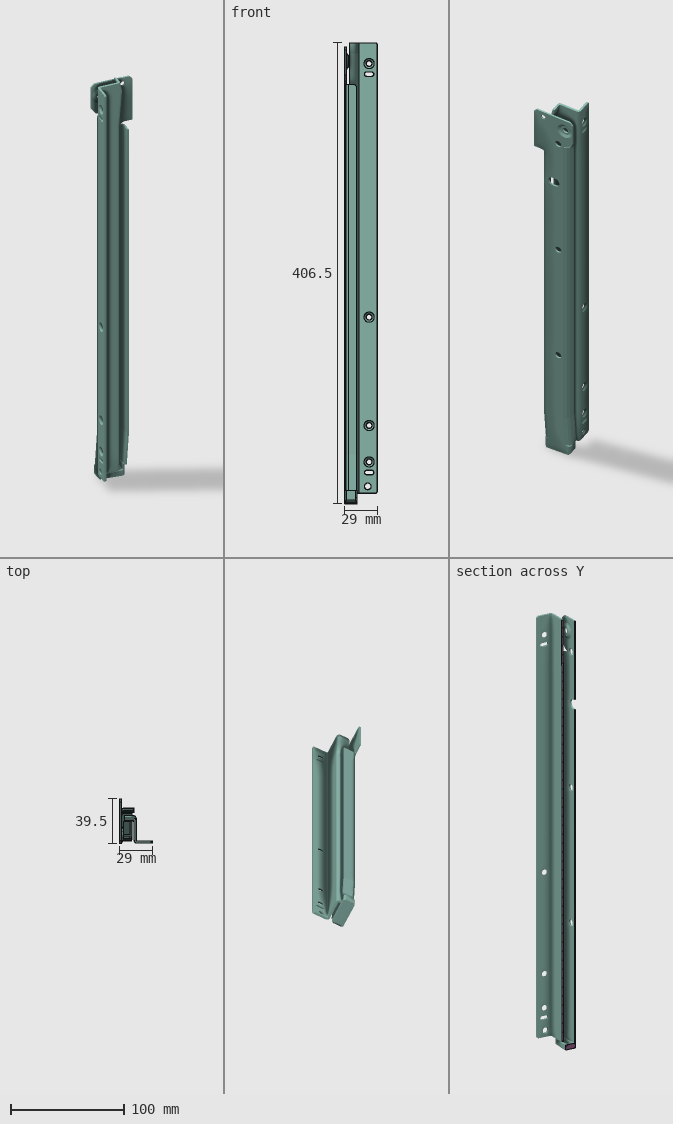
import cadquery as cq
import math


CABINET_SHEET = 2.0
CABINET_BOTTOM = 9.5
CABINET_TOP = 406.5
FLANGE_FRONT_Y = 0.5
FLANGE_END_X = 29.0
WEB_X = 12.5
RUNNER_END_X = 4.0
BEND_INNER_R = 1.0
FLANGE_CORNER = 1.2
RUNNER_Y = 20.0
RUNNER_STATIONS = [(CABINET_BOTTOM, RUNNER_Y), (362.0, RUNNER_Y), (397.0, 22.8), (CABINET_TOP, 20.7)]

SCREW_X = 21.5
SCREW_ZS = [388.5, 164.5, 69.0, 37.0]
SCREW_R = 2.5
SCREW_HEAD_R = 4.5
SLOT_ZS = [379.0, 27.5]
SLOT_LENGTH = 8.0
SLOT_HEIGHT = 3.5
FLANGE_HOLE_X = 20.5
FLANGE_HOLE_Z = 15.5
FLANGE_HOLE_R = 3.0

DRAWER_SHEET = 1.5
LOWER_FLANGE_Y = 4.5
UPPER_FLANGE_Y = 31.5
LOWER_FLANGE_X = 10.5
UPPER_FLANGE_X = 12.5
SHOULDER_X = 1.2
BEND_X = 3.3
WEB_LOW_Y = 9.8
WEB_HIGH_Y = 27.0
LOWER_SHOULDER_Y = 6.0
UPPER_SHOULDER_Y = 30.0
LOWER_FLANGE_TOP = 370.0
UPPER_FLANGE_TOP = 356.0
LOWER_FLANGE_CORNER = 2.0
DROP_TOP = 43.5
DROP_BOTTOM = 11.8
DROP = 2.0
TONGUE_BOTTOM = 3.5

PLATE_HEIGHT = 39.5
PLATE_TOP = 403.0
PLATE_BOTTOM = 358.0
PLATE_CORNER = 3.0
PLATE_NOTCH_Y = 4.0
PLATE_NOTCH_Z = 378.0

DIMPLE_Y = 8.0
DIMPLE_Z = 390.5
DIMPLE_R = 7.5
DIMPLE_FLOOR_R = 5.0
DIMPLE_HOLE_R = 3.0

WEB_HOLES = [(30.0, 397.0, 2.25), (14.5, 372.0, 3.3), (14.5, 244.5, 3.3), (14.5, 117.0, 3.3)]
WEB_SLOT_Y = 19.0
WEB_SLOT_Z = 324.0
WEB_SLOT_LENGTH = 11.5
WEB_SLOT_HEIGHT = 9.0

CAP_WIDTH = 11.0
CAP_LOW_Y = LOWER_FLANGE_Y - DROP
CAP_HIGH_Y = 28.5
CAP_WALL = 1.5
CAP_FLOOR = 5.5
CAP_TILT = 1.5
CAP_CHAMFER = 1.5
POCKET_X = 3.3
POCKET_END_X = 9.0
POCKET_LOW_Y = 8.0
POCKET_HIGH_Y = 19.5
POCKET_FLOOR = 3.3


def offset_path(path, distance):
    """The path moved sideways to its right, with mitred corners."""
    directions = []
    for (x0, y0), (x1, y1) in zip(path, path[1:]):
        length = math.hypot(x1 - x0, y1 - y0)
        directions.append(((x1 - x0) / length, (y1 - y0) / length))
    moved = []
    for index, (x, y) in enumerate(path):
        before = directions[max(index - 1, 0)]
        after = directions[min(index, len(directions) - 1)]
        scale = distance / (1 + before[0] * after[0] + before[1] * after[1])
        moved.append((x + scale * (before[1] + after[1]), y - scale * (before[0] + after[0])))
    return moved


def sheet_wire(path, sheet, z):
    """Closed outline at height z of a bent sheet whose one face follows the path."""
    outline = path + offset_path(path, sheet)[::-1]
    return cq.Wire.makePolygon([cq.Vector(x, y, z) for x, y in outline], close=True)


def round_bends(wire, corners):
    """Round the outline at each (x, y, radius)."""
    for x, y, radius in corners:
        nearest = min(wire.Vertices(), key=lambda v: math.hypot(v.X - x, v.Y - y))
        wire = wire.fillet2D(radius, [nearest])
    return wire


def extrude_x(outline, x_start, width):
    """Prism along +X from a closed outline of (y, z) points."""
    return cq.Workplane("YZ").workplane(offset=x_start).polyline(outline).close().extrude(width)


def cone_x(y, z, x_start, radius_start, radius_end, depth):
    """Truncated cone along +X."""
    base = cq.Vector(x_start, y, z)
    return cq.Workplane(cq.Solid.makeCone(radius_start, radius_end, depth, base, cq.Vector(1, 0, 0)))


def cabinet_wire(z, runner_y):
    path = [
        (FLANGE_END_X, FLANGE_FRONT_Y),
        (WEB_X, FLANGE_FRONT_Y),
        (WEB_X, runner_y),
        (RUNNER_END_X, runner_y),
    ]
    outer_r = BEND_INNER_R + CABINET_SHEET
    web_back = WEB_X + CABINET_SHEET
    bends = [
        (WEB_X, FLANGE_FRONT_Y, outer_r),
        (web_back, FLANGE_FRONT_Y + CABINET_SHEET, BEND_INNER_R),
        (WEB_X, runner_y, BEND_INNER_R),
        (web_back, runner_y + CABINET_SHEET, outer_r),
    ]
    return round_bends(sheet_wire(path, CABINET_SHEET, z), bends)


def flange_cutters():
    """Countersunk screw holes, slots and the plain hole of the screw flange."""
    plane = cq.Workplane("XZ", origin=(0, FLANGE_FRONT_Y, 0))
    cutters = plane.pushPoints([(SCREW_X, z) for z in SLOT_ZS]).slot2D(SLOT_LENGTH, SLOT_HEIGHT)
    cutters = cutters.extrude(-CABINET_SHEET)
    plain_hole = plane.center(FLANGE_HOLE_X, FLANGE_HOLE_Z).circle(FLANGE_HOLE_R)
    cutters = cutters.add(plain_hole.extrude(-CABINET_SHEET))
    for z in SCREW_ZS:
        base = cq.Vector(SCREW_X, FLANGE_FRONT_Y, z)
        cutters = cutters.add(
            cq.Solid.makeCone(SCREW_HEAD_R, SCREW_R, CABINET_SHEET, base, cq.Vector(0, 1, 0))
        )
    return cutters


def make_cabinet_rail():
    wires = [cabinet_wire(z, runner_y) for z, runner_y in RUNNER_STATIONS]
    rail = cq.Workplane(cq.Solid.makeLoft(wires, True))
    rail = rail.faces(">X").edges("|Y").chamfer(FLANGE_CORNER)
    for cutter in flange_cutters().vals():
        rail = rail.cut(cq.Workplane(cutter))
    return rail


def drawer_wire(z, drop=0.0):
    path = [
        (LOWER_FLANGE_X, LOWER_FLANGE_Y),
        (BEND_X, LOWER_FLANGE_Y),
        (SHOULDER_X, LOWER_SHOULDER_Y),
        (0, WEB_LOW_Y),
        (0, WEB_HIGH_Y),
        (SHOULDER_X, UPPER_SHOULDER_Y),
        (BEND_X, UPPER_FLANGE_Y),
        (UPPER_FLANGE_X, UPPER_FLANGE_Y),
    ]
    return sheet_wire([(x, y - drop) for x, y in path], DRAWER_SHEET, z)


def make_channel():
    """C-channel whose flanges stop below the plate and whose front end drops in Y."""
    straight = cq.Solid.makeLoft([drawer_wire(DROP_TOP), drawer_wire(LOWER_FLANGE_TOP)], True)
    dropped = cq.Solid.makeLoft([drawer_wire(DROP_BOTTOM, DROP), drawer_wire(DROP_TOP)], True)
    tip = cq.selectors.NearestToPointSelector((LOWER_FLANGE_X, LOWER_FLANGE_Y, LOWER_FLANGE_TOP))
    channel = cq.Workplane(straight).edges("|Y").edges(tip).chamfer(LOWER_FLANGE_CORNER)
    channel = channel.union(cq.Workplane(dropped))
    upper_end = cq.Workplane("XY").box(
        UPPER_FLANGE_X, UPPER_FLANGE_Y - WEB_HIGH_Y, LOWER_FLANGE_TOP - UPPER_FLANGE_TOP, centered=False
    )
    return channel.cut(upper_end.translate((0, WEB_HIGH_Y, UPPER_FLANGE_TOP)))


def make_plate():
    outline = [
        (WEB_LOW_Y, LOWER_FLANGE_TOP),
        (PLATE_NOTCH_Y, LOWER_FLANGE_TOP + PLATE_CORNER),
        (0, PLATE_NOTCH_Z),
        (0, PLATE_TOP - PLATE_CORNER),
        (PLATE_CORNER, PLATE_TOP),
        (PLATE_HEIGHT - PLATE_CORNER, PLATE_TOP),
        (PLATE_HEIGHT, PLATE_TOP - PLATE_CORNER),
        (PLATE_HEIGHT, PLATE_BOTTOM),
        (UPPER_FLANGE_Y, PLATE_BOTTOM),
        (WEB_HIGH_Y, UPPER_FLANGE_TOP),
        (WEB_LOW_Y, UPPER_FLANGE_TOP),
    ]
    return extrude_x(outline, 0, DRAWER_SHEET)


def make_tongue():
    """Round-ended tongue that continues the web into the end cap."""
    low = WEB_LOW_Y - DROP
    high = WEB_HIGH_Y - DROP
    tip = ((low + high) / 2, TONGUE_BOTTOM)
    sketch = cq.Workplane("YZ").moveTo(low, DROP_BOTTOM).threePointArc(tip, (high, DROP_BOTTOM)).close()
    return sketch.extrude(DRAWER_SHEET)


def make_drawer_rail():
    rail = make_channel().union(make_plate()).union(make_tongue())
    rail = rail.union(cone_x(DIMPLE_Y, DIMPLE_Z, DRAWER_SHEET, DIMPLE_R, DIMPLE_FLOOR_R, DRAWER_SHEET))
    rail = rail.cut(cone_x(DIMPLE_Y, DIMPLE_Z, 0, DIMPLE_R, DIMPLE_FLOOR_R, DRAWER_SHEET))
    through = 2 * DRAWER_SHEET
    for y, z, radius in WEB_HOLES + [(DIMPLE_Y, DIMPLE_Z, DIMPLE_HOLE_R)]:
        rail = rail.cut(cq.Workplane("YZ").center(y, z).circle(radius).extrude(through))
    slot = cq.Workplane("YZ").center(WEB_SLOT_Y, WEB_SLOT_Z).slot2D(WEB_SLOT_LENGTH, WEB_SLOT_HEIGHT)
    return rail.cut(slot.extrude(through))


def make_end_cap():
    """Cap with a slanted foot, open toward +X and slotted for the round tongue."""
    outline = [
        (CAP_LOW_Y, DROP_BOTTOM),
        (CAP_LOW_Y, CAP_TILT),
        (CAP_HIGH_Y, 0),
        (CAP_HIGH_Y, DROP_BOTTOM),
    ]
    cap = extrude_x(outline, 0, CAP_WIDTH)
    cap = cap.edges("|Z").chamfer(CAP_CHAMFER)
    cap = cap.faces("<Z").edges("<Y").chamfer(CAP_CHAMFER)
    cavity_outline = [
        (CAP_LOW_Y + CAP_WALL, DROP_BOTTOM),
        (CAP_LOW_Y + CAP_WALL, CAP_FLOOR),
        (CAP_HIGH_Y - CAP_WALL, CAP_FLOOR),
        (CAP_HIGH_Y - CAP_WALL, DROP_BOTTOM),
    ]
    cavity = extrude_x(cavity_outline, DRAWER_SHEET, CAP_WIDTH - DRAWER_SHEET)
    pocket_outline = [
        (POCKET_LOW_Y, DROP_BOTTOM),
        (POCKET_LOW_Y, POCKET_FLOOR),
        (POCKET_HIGH_Y, POCKET_FLOOR),
        (POCKET_HIGH_Y, DROP_BOTTOM),
    ]
    pocket = extrude_x(pocket_outline, POCKET_X, POCKET_END_X - POCKET_X)
    return cap.cut(cavity).cut(pocket).cut(make_tongue())


cabinet_rail = make_cabinet_rail()
drawer_rail = make_drawer_rail()
end_cap = make_end_cap()

result = cq.Compound.makeCompound([cabinet_rail.val(), drawer_rail.val(), end_cap.val()])